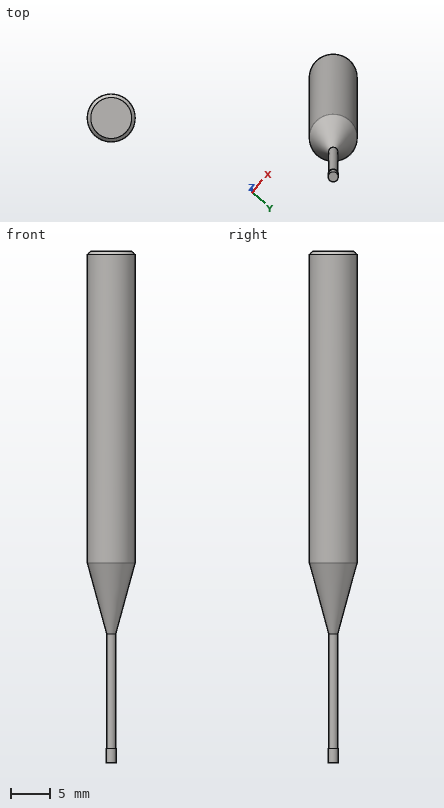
import cadquery as cq

total_length = 64.0
shank_diameter = 6.0
shank_chamfer = 0.45
neck_diameter = 1.15
tip_diameter = 1.3
tip_length = 1.8
cone_bottom_z = 16.1
cone_top_z = 25.0

shank_radius = shank_diameter / 2
neck_radius = neck_diameter / 2
neck_length = cone_bottom_z - tip_length


def make_shank():
    """Cylindrical shank with a chamfered top and a cone narrowing to the neck."""
    half_profile = [
        (0, cone_bottom_z),
        (neck_radius, cone_bottom_z),
        (shank_radius, cone_top_z),
        (shank_radius, total_length - shank_chamfer),
        (shank_radius - shank_chamfer, total_length),
        (0, total_length),
    ]
    return cq.Workplane("XZ").polyline(half_profile).close().revolve(360, (0, 0), (0, 1))


def make_neck():
    """Slender cylinder joining the cone to the cutting tip."""
    return cq.Workplane("XY").workplane(offset=tip_length).circle(neck_radius).extrude(neck_length)


def make_tip():
    """Short cylindrical cutting tip, slightly wider than the neck."""
    return cq.Workplane("XY").circle(tip_diameter / 2).extrude(tip_length)


shank = make_shank()
neck = make_neck()
tip = make_tip()

result = cq.Compound.makeCompound([shank.val(), neck.val(), tip.val()])